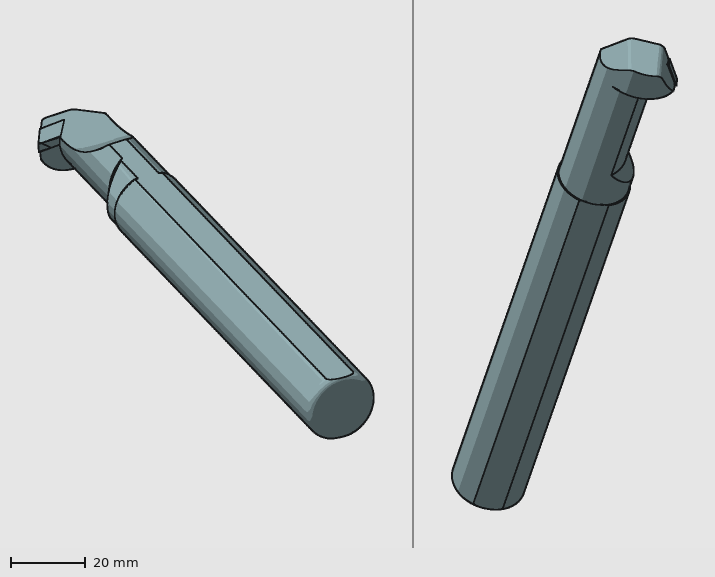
import cadquery as cq
import math

TOTAL_LENGTH = 170.0

SHANK_RADIUS = 10.0
SHANK_START = 52.2
SHANK_END_FILLET = 1.9
FLAT_HEIGHT = 9.2

NECK_RADIUS = 9.7
RELIEF_RADIUS = 12.7
RELIEF_CENTRE_Y = 6.6
RELIEF_END = 40.8
RUNOUT_ANGLE = 30.0
RUNOUT_LENGTH = 10.2

LOBE_RADIUS = 10.7
LOBE_CENTRE_Y = -1.9
LOBE_CENTRE_Z = -0.2
LOBE_BACK = 10.9
CHAMFER_START_Y = 2.9
SLANT_START_Y = -6.1
SLANT_ANGLE = 30.0
NOSE_CORNER_RADIUS = 2.5
CLEARANCE_ANGLE = 5.0

RAKE_HEIGHT = 1.1
RAKE_ANGLE = 4.3
CUTTER_X = -14.0
CUTTER_FLAT_RADIUS = 27.2
CUTTER_EDGE_RADIUS = 27.7

INSERT_THICKNESS = 2.5
INSERT_CORNERS = [(3.5, -1.2), (10.4, -5.6), (10.9, -12.5), (4.2, -8.8)]

BLOCK = 34.0


def cylinder_along_x(radius, start, end, y=0.0, z=0.0):
    """Solid cylinder parallel to the bar axis."""
    return cq.Workplane("YZ", origin=(start, y, z)).circle(radius).extrude(end - start)


def make_shank():
    """Round shank with a flat on top and bottom and a rounded free end."""
    shank = cylinder_along_x(SHANK_RADIUS, SHANK_START, TOTAL_LENGTH)
    shank = shank.faces(">X").edges().fillet(SHANK_END_FILLET)
    flats = cq.Workplane("XY").box(2 * TOTAL_LENGTH, BLOCK, 2 * FLAT_HEIGHT)
    return shank.intersect(flats)


def make_neck():
    """Neck narrowed by the relief, with a conical run-out and the top flat."""
    runout_rise = RUNOUT_LENGTH * math.tan(math.radians(RUNOUT_ANGLE))
    relief_profile = [
        (0, 0),
        (0, RELIEF_RADIUS),
        (RELIEF_END, RELIEF_RADIUS),
        (RELIEF_END + RUNOUT_LENGTH, RELIEF_RADIUS + runout_rise),
        (SHANK_START, RELIEF_RADIUS + runout_rise),
        (SHANK_START, 0),
    ]
    envelope = cq.Workplane("XY", origin=(0, RELIEF_CENTRE_Y, 0)).polyline(relief_profile).close()
    envelope = envelope.revolve(360, (0, 0, 0), (1, 0, 0))
    neck = cylinder_along_x(NECK_RADIUS, 0, SHANK_START).intersect(envelope)
    above_flat = cq.Workplane("XY", origin=(0, 0, FLAT_HEIGHT)).rect(2 * TOTAL_LENGTH, BLOCK).extrude(BLOCK)
    return neck.cut(above_flat)


def nose_prism(back):
    """Block with the nose outline in front, a back face, and walls leaning inward going down."""
    slant_drop = back * math.tan(math.radians(SLANT_ANGLE))
    outline = [
        (0, CHAMFER_START_Y),
        (0, SLANT_START_Y),
        (back, SLANT_START_Y - slant_drop),
        (back, CHAMFER_START_Y + back),
    ]
    lean = (FLAT_HEIGHT - RAKE_HEIGHT) * math.tan(math.radians(CLEARANCE_ANGLE))
    prism = cq.Workplane("XY", origin=(0, 0, FLAT_HEIGHT)).polyline(outline).close()
    prism = prism.offset2D(lean, "intersection").extrude(-BLOCK, taper=CLEARANCE_ANGLE)
    front_corners = prism.faces("<X").edges("not #Z")
    return front_corners.fillet(NOSE_CORNER_RADIUS)


def make_nose_lobe():
    """Lobe under the insert that bulges past the neck towards -Y."""
    lobe = cylinder_along_x(LOBE_RADIUS, 0, LOBE_BACK, LOBE_CENTRE_Y, LOBE_CENTRE_Z)
    return lobe.intersect(nose_prism(LOBE_BACK))


def rake_plane():
    """Workplane on the rake face, which falls towards -Y."""
    return cq.Workplane("XY", origin=(0, 0, RAKE_HEIGHT)).transformed(rotate=(RAKE_ANGLE, 0, 0))


def make_cutter():
    """Disc cutter standing on the rake face; its rounded edge leaves the scallop."""
    rim_radius = CUTTER_FLAT_RADIUS + CUTTER_EDGE_RADIUS
    arc_mid_x = CUTTER_FLAT_RADIUS + CUTTER_EDGE_RADIUS * math.sin(math.radians(45))
    arc_mid_z = CUTTER_EDGE_RADIUS * (1 - math.cos(math.radians(45)))
    cutter = (
        cq.Workplane("XZ")
        .lineTo(CUTTER_FLAT_RADIUS, 0)
        .threePointArc((arc_mid_x, arc_mid_z), (rim_radius, CUTTER_EDGE_RADIUS))
        .lineTo(0, CUTTER_EDGE_RADIUS)
        .close()
        .revolve(360, (0, 0, 0), (0, 1, 0))
    )
    cutter = cutter.rotate((0, 0, 0), (1, 0, 0), RAKE_ANGLE)
    return cutter.translate((CUTTER_X, 0, RAKE_HEIGHT))


def make_insert():
    """Cutting insert lying flush with the rake face."""
    return rake_plane().polyline(INSERT_CORNERS).close().extrude(-INSERT_THICKNESS)


def make_holder(insert):
    """Complete bar with the seat for the insert."""
    neck = make_neck().intersect(nose_prism(SHANK_START + BLOCK))
    bar = neck.union(make_nose_lobe())
    bar = bar.cut(make_cutter())
    return bar.union(make_shank()).cut(insert)


insert = make_insert()
holder = make_holder(insert)

result = cq.Compound.makeCompound([holder.val(), insert.val()])